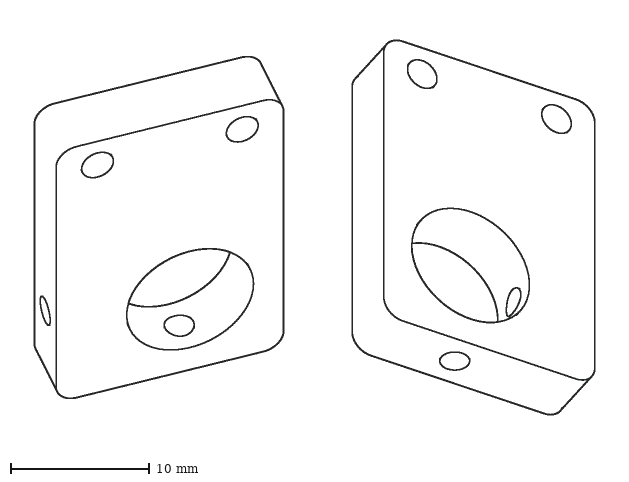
import cadquery as cq

thickness = 4.75
width = 17.45
height = 25.4
corner_radius = 1.57

bore_diameter = 9.73
bore_y = 1.55
bore_z = -5.6

mount_diameter = 2.45
mount_spacing = 11.1
mount_z = 10.3

cross_diameter = 2.15


def hole_through_thickness(diameter, y, z):
    """Cylinder along X that spans the plate thickness."""
    return (
        cq.Workplane("YZ")
        .center(y, z)
        .circle(diameter / 2)
        .extrude(thickness / 2, both=True)
    )


def cross_hole(start, direction, length):
    """Cylinder from an edge of the plate to the bore axis."""
    return cq.Workplane(
        cq.Solid.makeCylinder(cross_diameter / 2, length, cq.Vector(*start), cq.Vector(*direction))
    )


plate = cq.Workplane("XY").box(thickness, width, height).edges("|X").fillet(corner_radius)

result = plate.cut(hole_through_thickness(bore_diameter, bore_y, bore_z))
for side in (-1, 1):
    result = result.cut(hole_through_thickness(mount_diameter, side * mount_spacing / 2, mount_z))

result = result.cut(cross_hole((0, -width / 2, bore_z), (0, 1, 0), bore_y + width / 2))
result = result.cut(cross_hole((0, bore_y, -height / 2), (0, 0, 1), bore_z + height / 2))